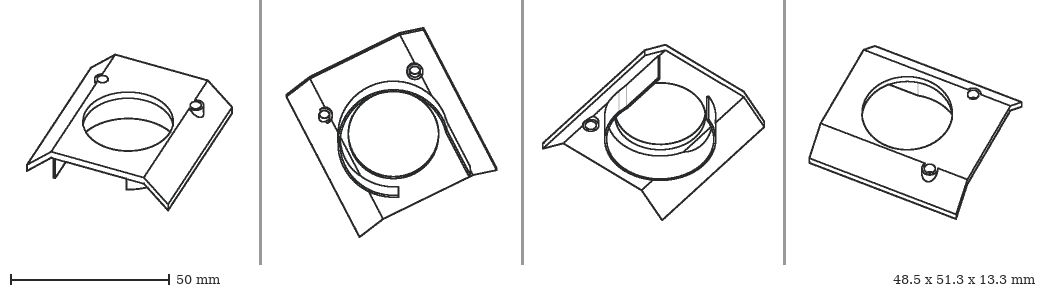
import cadquery as cq
import math

plate_width = 48.55
plate_length = 51.3
total_height = 13.35
plate_thickness = 2.55
flat_width = 31.8
wing_drop = 8.3

opening_x = 0.6
opening_y = -2.6
opening_radius = 14.25
collar_radius = 17.55
collar_wall = 0.6
collar_end_x = 7.05

tab_outer_x = -16.4
tab_front_y = -22.7
tab_back_y = -6.5
collar_left_end_y = -3.5

tube_spacing = 32.0
tube_center_x = 1.15
tube_y = 13.1
tube_radius = 2.5
tube_bore_radius = 1.75
tube_height = 4.1


def cylinder(x, y, radius, height):
    """Vertical cylinder hanging down from the top face."""
    return cq.Workplane("XY").center(x, y).circle(radius).extrude(-height)


def bent_plate():
    half_flat = flat_width / 2
    half_width = plate_width / 2
    profile = [
        (-half_flat, 0),
        (half_flat, 0),
        (half_width, -wing_drop),
        (half_width, -wing_drop - plate_thickness),
        (half_flat, -plate_thickness),
        (-half_flat, -plate_thickness),
        (-half_width, -wing_drop - plate_thickness),
        (-half_width, -wing_drop),
    ]
    return cq.Workplane("XZ").polyline(profile).close().extrude(plate_length / 2, both=True)


def collar():
    """Thin arc wall, open at the front left, running into the straight tab."""
    inner_radius = collar_radius - collar_wall
    tab_inner_x = tab_outer_x + collar_wall
    end_angle = -math.acos((collar_end_x - opening_x) / collar_radius)
    outer_meet = math.pi + math.asin((opening_y - collar_left_end_y) / collar_radius)
    inner_meet = math.pi + math.acos((opening_x - tab_inner_x) / inner_radius)
    outer_mid = (end_angle + outer_meet) / 2
    inner_mid = (end_angle + inner_meet) / 2

    def on_arc(radius, angle):
        return (opening_x + radius * math.cos(angle), opening_y + radius * math.sin(angle))

    return (
        cq.Workplane("XY")
        .workplane(offset=-total_height)
        .moveTo(*on_arc(collar_radius, end_angle))
        .threePointArc(on_arc(collar_radius, outer_mid), on_arc(collar_radius, outer_meet))
        .lineTo(tab_outer_x, tab_back_y)
        .lineTo(tab_outer_x, tab_front_y)
        .lineTo(tab_inner_x, tab_front_y)
        .lineTo(*on_arc(inner_radius, inner_meet))
        .threePointArc(on_arc(inner_radius, inner_mid), on_arc(inner_radius, end_angle))
        .close()
        .extrude(total_height)
    )


def space_above_plate():
    """Region over the sloping wings that the collar must not enter."""
    half_flat = flat_width / 2
    half_width = plate_width / 2
    profile = [
        (-half_flat, 0),
        (half_flat, 0),
        (half_width, -wing_drop),
        (half_width, total_height),
        (-half_width, total_height),
        (-half_width, -wing_drop),
    ]
    return cq.Workplane("XZ").polyline(profile).close().extrude(plate_length / 2, both=True)


result = bent_plate().union(collar().cut(space_above_plate()))
result = result.cut(cylinder(opening_x, opening_y, opening_radius, total_height))

tube_places = [tube_center_x + side * tube_spacing / 2 for side in (-1, 1)]
for tube_x in tube_places:
    result = result.union(cylinder(tube_x, tube_y, tube_radius, tube_height))
for tube_x in tube_places:
    result = result.cut(cylinder(tube_x, tube_y, tube_bore_radius, total_height))